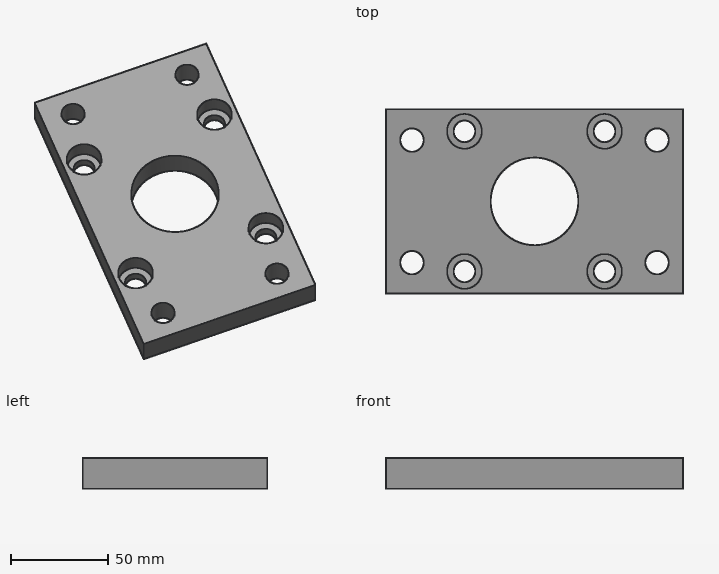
import cadquery as cq

length = 153.0
width = 95.0
thickness = 16.0

bore_diameter = 45.0

corner_hole_diameter = 12.0
corner_spacing_x = 126.0
corner_spacing_y = corner_spacing_x / 2

screw_spacing = 72.0
screw_hole_diameter = 11.0
counterbore_diameter = 17.9
counterbore_depth = 10.5

plate = cq.Workplane("XY").box(length, width, thickness)

plate = plate.faces(">Z").workplane().hole(bore_diameter)
plate = (
    plate.faces(">Z").workplane()
    .rarray(corner_spacing_x, corner_spacing_y, 2, 2)
    .hole(corner_hole_diameter)
)

result = (
    plate.faces(">Z").workplane()
    .rarray(screw_spacing, screw_spacing, 2, 2)
    .cboreHole(screw_hole_diameter, counterbore_diameter, counterbore_depth)
)